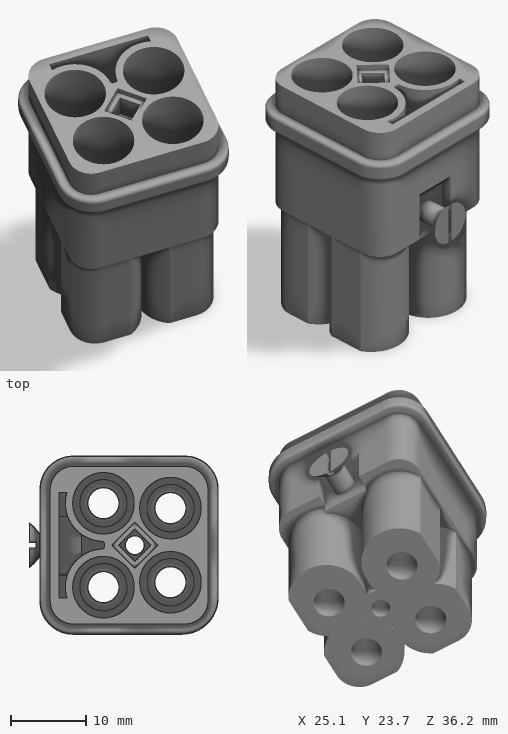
import cadquery as cq
import math

total_height = 36.25
body_bottom = 16.35

body_width = 21.0
body_corner_radius = 3.08

flange_width = 23.7
flange_bottom = 29.4
flange_height = 2.45
flange_corner_radius = 4.42
flange_key_corner_radius = 4.85
flange_edge_radius = 0.45

left_bore_x = -3.4
left_bore_y = 5.6
right_bore_x = 5.5
right_bore_y = 4.93
bore_centers = [
    (left_bore_x, left_bore_y),
    (left_bore_x, -left_bore_y),
    (right_bore_x, right_bore_y),
    (right_bore_x, -right_bore_y),
]
upper_bore_diameter = 8.2
upper_bore_depth = 18.12
middle_bore_diameter = 6.3
middle_bore_depth = 29.0
through_bore_diameter = 4.15

sleeve_radius = 5.08
leg_stretch = left_bore_y - right_bore_y
leg_envelope_width = 20.2
leg_envelope_corner_radius = 3.5

guide_x = 0.75
guide_post_radius = 2.72
guide_hole_diameter = 2.5
outer_diamond_side = 4.3
outer_diamond_depth = 0.9
inner_diamond_side = 3.05
inner_diamond_depth = 4.35

pocket_left = -9.35
pocket_right = -3.3
pocket_half_width = 7.05
pocket_depth = 14.5
pocket_end_radius = 0.3
clamp_plate_right = -6.35
clamp_plate_width = 7.6
clamp_plate_depth = 10.88
clamp_ledge_width = 0.25
clamp_ledge_drop = 0.72

notch_width = 6.1
notch_depth = 1.6
notch_top = 23.55
notch_inner_top = 21.68
clamp_block_bottom = 14.85

screw_z = 18.75
screw_protrusion = 1.4
screw_head_radius = 2.97
screw_head_length = 1.35
screw_head_bulge_depth = 0.87
screw_head_bulge_radius = 2.15
screw_shank_diameter = 3.0
screw_slot_width = 0.72
screw_slot_depth = 0.9

body_left = -body_width / 2
clamp_face_x = body_left + notch_depth
screw_tip_x = -flange_width / 2 - screw_protrusion


def box(x_min, x_max, width, z_min, z_max, y_center=0.0):
    """Block given by its X and Z limits and its width along Y."""
    size = (x_max - x_min, width, z_max - z_min)
    return cq.Workplane("XY").box(*size, centered=(False, True, False)).translate((x_min, y_center, z_min))


def square_plate(width, z_min, height):
    return cq.Workplane("XY", origin=(0, 0, z_min)).rect(width, width).extrude(height)


def rounded_square(width, radius, z_min, height):
    return square_plate(width, z_min, height).edges("|Z").fillet(radius)


def cylinder(x, y, diameter, z_min, z_max):
    return cq.Workplane("XY", origin=(x, y, z_min)).circle(diameter / 2).extrude(z_max - z_min)


def make_flange():
    plate = square_plate(flange_width, flange_bottom, flange_height)
    key_corner = cq.selectors.BoxSelector((0, -flange_width, 0), (flange_width, 0, total_height))
    plate = plate.edges("|Z").edges(key_corner).fillet(flange_key_corner_radius)
    for corner in ("<X and <Y", "<X and >Y", ">X and >Y"):
        plate = plate.edges("|Z").edges(corner).fillet(flange_corner_radius)
    return plate.faces("<Z or >Z").edges().fillet(flange_edge_radius)


def make_sleeve(x, y):
    """Two overlapping cylinders: left legs stretch toward -X, right legs away from the X axis."""
    if x < 0:
        outer_center = (x - leg_stretch, y)
    else:
        outer_center = (x, math.copysign(abs(y) + leg_stretch, y))
    inner = cylinder(x, y, 2 * sleeve_radius, 0, body_bottom)
    return inner.union(cylinder(*outer_center, 2 * sleeve_radius, 0, body_bottom))


def make_legs():
    legs = cylinder(guide_x, 0, 2 * guide_post_radius, 0, body_bottom)
    for x, y in bore_centers:
        legs = legs.union(make_sleeve(x, y))
    envelope = rounded_square(leg_envelope_width, leg_envelope_corner_radius, 0, body_bottom)
    return legs.intersect(envelope)


def make_bore(x, y):
    bore = cylinder(x, y, through_bore_diameter, 0, total_height)
    for diameter, depth in (
        (middle_bore_diameter, middle_bore_depth),
        (upper_bore_diameter, upper_bore_depth),
    ):
        bore = bore.union(cylinder(x, y, diameter, total_height - depth, total_height))
    return bore


def make_guide_cut():
    cut = cylinder(guide_x, 0, guide_hole_diameter, 0, total_height)
    for side, depth in (
        (outer_diamond_side, outer_diamond_depth),
        (inner_diamond_side, inner_diamond_depth),
    ):
        diamond = cq.Workplane("XY").rect(side, side).extrude(depth).rotate((0, 0, 0), (0, 0, 1), 45)
        cut = cut.union(diamond.translate((guide_x, 0, total_height - depth)))
    return cut


def make_pocket():
    """Pocket that follows the left sleeves, with a raised clamp plate and a lower ledge beside it."""
    floor = total_height - pocket_depth
    pocket = box(pocket_left, pocket_right, 2 * pocket_half_width, floor, total_height)
    for y in (left_bore_y, -left_bore_y):
        pocket = pocket.cut(cylinder(left_bore_x, y, 2 * sleeve_radius, floor, total_height))
    pocket = pocket.edges("|Z").edges(">X").fillet(pocket_end_radius)
    plate_top = total_height - clamp_plate_depth
    plate = box(pocket_left, clamp_plate_right, clamp_plate_width, floor, plate_top)
    ledge_y = -(clamp_plate_width + clamp_ledge_width) / 2
    ledge_top = plate_top - clamp_ledge_drop
    ledge = box(pocket_left, clamp_plate_right, clamp_ledge_width, floor, ledge_top, ledge_y)
    return pocket.cut(plate).cut(ledge)


def make_notch():
    """Notch open to -X and downward, with a ceiling that slopes down toward the inside."""
    return (
        cq.Workplane("XZ")
        .moveTo(body_left, body_bottom)
        .lineTo(clamp_face_x, body_bottom)
        .lineTo(clamp_face_x, notch_inner_top)
        .lineTo(body_left, notch_top)
        .close()
        .extrude(notch_width / 2, both=True)
    )


def make_screw():
    """Screw along X, revolved about its axis, with a slot across the head."""
    shank_radius = screw_shank_diameter / 2
    head_end_x = screw_tip_x + screw_head_length
    bulge_point = (screw_tip_x + screw_head_bulge_depth, screw_z + screw_head_bulge_radius)
    screw = (
        cq.Workplane("XZ")
        .moveTo(screw_tip_x, screw_z)
        .lineTo(screw_tip_x, screw_z + screw_head_radius)
        .threePointArc(bulge_point, (head_end_x, screw_z + shank_radius))
        .lineTo(clamp_face_x, screw_z + shank_radius)
        .lineTo(clamp_face_x, screw_z)
        .close()
        .revolve(360, (screw_tip_x, screw_z, 0), (clamp_face_x, screw_z, 0))
    )
    slot = box(
        screw_tip_x,
        screw_tip_x + screw_slot_depth,
        screw_slot_width,
        screw_z - screw_head_radius,
        screw_z + screw_head_radius,
    )
    return screw.cut(slot)


body = rounded_square(body_width, body_corner_radius, body_bottom, total_height - body_bottom)
clamp_block = box(clamp_face_x, left_bore_x, notch_width, clamp_block_bottom, body_bottom)

result = body.union(make_flange()).union(make_legs()).union(clamp_block)
result = result.cut(make_notch()).cut(make_pocket()).cut(make_guide_cut())
for bore_x, bore_y in bore_centers:
    result = result.cut(make_bore(bore_x, bore_y))
result = result.union(make_screw())